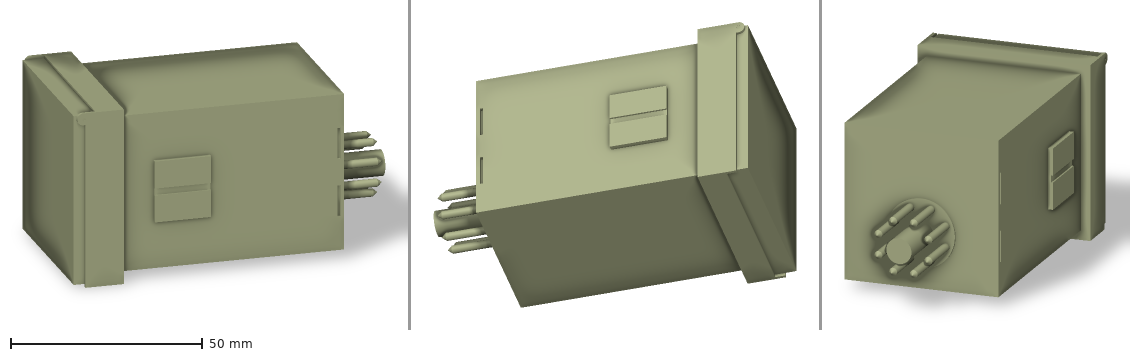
import cadquery as cq
import math

overall_length = 90.9
bezel_size = 48.3
body_size = 43.0

bezel_front = 5.8
bezel_rear = 13.5
body_rear = 74.3
flange_rear = 74.8

cover_inset = 0.8
cheek_front = 3.0
hinge_radius = 1.6
hinge_y = 2.4
hinge_pin_diameter = 1.2
hinge_pin_recess = 0.1

clip_front = 22.3
clip_length = 15.4
clip_height = 16.8
clip_thickness = 1.4
clip_groove_width = 1.9
clip_groove_depth = 0.5

slot_front = 72.5
slot_width = 0.8
slot_height = 8.6
slot_depth = 1.0
slot_spacing = 15.9

plug_z = -6.3
flange_diameter = 19.1
post_diameter = 7.0
pin_count = 8
pin_circle_radius = 7.55
pin_diameter = 2.2
pin_tip = 88.9
pin_shoulder = 87.6

cover_size = bezel_size - 2 * cover_inset
hinge_z = bezel_size / 2 - hinge_radius
sides = (-1, 1)
levels = (-1, 1)


def block(x_size, z_size, y_front, y_rear, x=0.0, z=0.0):
    """Box centred on (x, z) that runs from y_front to y_rear."""
    length = y_rear - y_front
    return cq.Workplane("XY").box(x_size, length, z_size).translate((x, y_front + length / 2, z))


def cylinder(diameter, y_front, y_rear, x, z):
    """Cylinder along Y centred on (x, z)."""
    axis_start = cq.Vector(x, y_front, z)
    solid = cq.Solid.makeCylinder(diameter / 2, y_rear - y_front, axis_start, cq.Vector(0, 1, 0))
    return cq.Workplane(obj=solid)


def cheek(side):
    """Plate beside the cover with a rounded hinge ear at its top."""
    outer_x = side * bezel_size / 2
    center_x = side * (bezel_size - cover_inset) / 2
    plate = block(cover_inset, bezel_size, cheek_front, bezel_front, center_x)
    ear_block = block(cover_inset, 2 * hinge_radius, hinge_y, bezel_front, center_x, hinge_z)
    inward = cq.Vector(-side, 0, 0)
    hinge_point = cq.Vector(outer_x, hinge_y, hinge_z)
    ear_tip = cq.Solid.makeCylinder(hinge_radius, cover_inset, hinge_point, inward)
    pin_end = cq.Solid.makeCylinder(hinge_pin_diameter / 2, hinge_pin_recess, hinge_point, inward)
    return plate.union(ear_block).union(cq.Workplane(obj=ear_tip)).cut(cq.Workplane(obj=pin_end))


def clip(side):
    """Raised pad with a shallow groove along Y across its middle."""
    outer_x = body_size / 2 + clip_thickness
    clip_rear = clip_front + clip_length
    pad = block(clip_thickness, clip_height, clip_front, clip_rear, side * (outer_x - clip_thickness / 2))
    groove_x = side * (outer_x - clip_groove_depth / 2)
    return pad.cut(block(clip_groove_depth, clip_groove_width, clip_front, clip_rear, groove_x))


def latch_slot(side, level):
    """Cutter for one narrow slot in the side wall."""
    x = side * (body_size - slot_depth) / 2
    z = level * slot_spacing / 2
    return block(slot_depth, slot_height, slot_front, slot_front + slot_width, x, z)


def pointed_pin(x, z):
    """Contact pin with a conical tip."""
    shaft = cylinder(pin_diameter, body_rear, pin_shoulder, x, z)
    shoulder = cq.Vector(x, pin_shoulder, z)
    tip = cq.Solid.makeCone(pin_diameter / 2, 0, pin_tip - pin_shoulder, shoulder, cq.Vector(0, 1, 0))
    return shaft.union(cq.Workplane(obj=tip))


result = block(body_size, body_size, bezel_rear, body_rear)
result = result.union(block(bezel_size, bezel_size, bezel_front, bezel_rear))
result = result.union(block(cover_size, cover_size, 0, bezel_front))

for side in sides:
    result = result.union(cheek(side)).union(clip(side))
    for level in levels:
        result = result.cut(latch_slot(side, level))

result = result.union(cylinder(flange_diameter, body_rear, flange_rear, 0, plug_z))
result = result.union(cylinder(post_diameter, body_rear, overall_length, 0, plug_z))
for index in range(pin_count):
    angle = 2 * math.pi * (index + 0.5) / pin_count
    pin_x = pin_circle_radius * math.cos(angle)
    pin_z = plug_z + pin_circle_radius * math.sin(angle)
    result = result.union(pointed_pin(pin_x, pin_z))